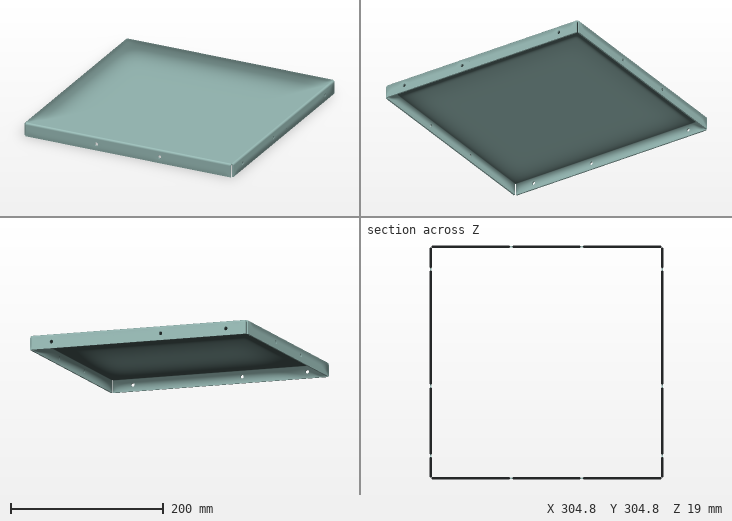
import cadquery as cq

side_length = 304.8
height = 19.0
sheet_thickness = 2.0
bend_radius = 2.7

hole_diameter = 5.0
hole_height = 8.8
front_hole_offset = 46.0
front_hole_positions = (-front_hole_offset, front_hole_offset)
side_hole_positions = (-122.0, -30.8, 122.0)

wall_length = side_length - 2 * bend_radius


def rounded_bar(width, bar_height, top_radius):
    """Bar along Y, standing on Z = 0, with its two long top edges rounded."""
    return (
        cq.Workplane("XY")
        .box(width, wall_length, bar_height, centered=(True, True, False))
        .edges("|Y and >Z")
        .fillet(top_radius)
    )


def turned(body):
    """Quarter turn about the vertical axis."""
    return body.rotate((0, 0, 0), (0, 0, 1), 90)


def hole_row(plane, positions):
    """Cylinders crossing the whole part, one per hole position."""
    return (
        cq.Workplane(plane)
        .pushPoints([(position, hole_height) for position in positions])
        .circle(hole_diameter / 2)
        .extrude(side_length / 2, both=True)
    )


outside = rounded_bar(side_length, height, bend_radius)
inside = rounded_bar(
    side_length - 2 * sheet_thickness,
    height - sheet_thickness,
    bend_radius - sheet_thickness,
)
cover = outside.union(turned(outside))
cover = cover.cut(inside).cut(turned(inside))

cover = cover.cut(hole_row("XZ", front_hole_positions))
result = cover.cut(hole_row("YZ", side_hole_positions))